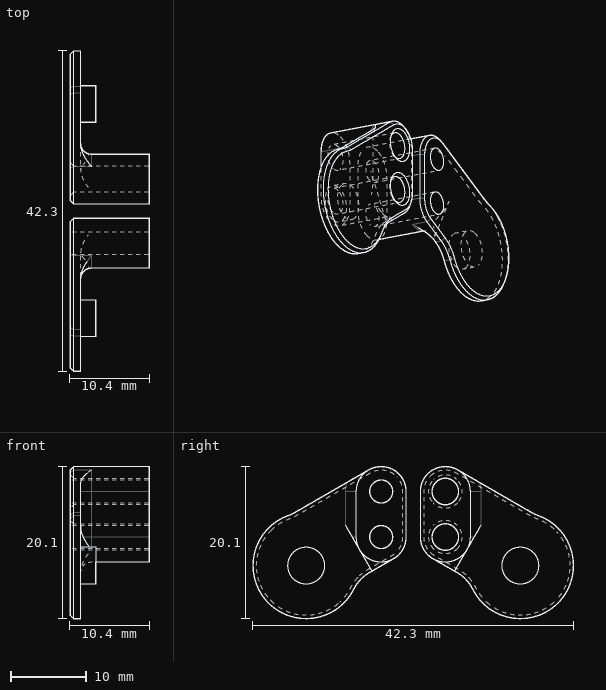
import cadquery as cq
import math

half_width = 21.15
height = 20.1
depth = 10.45

plate_thickness = 1.4
disc_radius = 7.0
disc_y = half_width - disc_radius
disc_z = disc_radius
edge_angle = math.radians(30)
edge_chamfer = 0.45
neck_fillet = 5.0

barrel_radius = 3.3
hole_spacing = 6.0
barrel_y = 4.25
upper_hole_z = height - barrel_radius
lower_hole_z = upper_hole_z - hole_spacing
barrel_z = (upper_hole_z + lower_hole_z) / 2
root_fillet = 1.4

stud_radius = 2.43
stud_height = 2.0

plain_hole_diameter = 3.0
wide_hole_diameter = 3.45
countersink = 0.45

blank_size = 4 * half_width


def disc_crossing(start, direction):
    """Point where a line from start, along a unit direction, first meets the disc."""
    offset_y = disc_y - start[0]
    offset_z = disc_z - start[1]
    along = offset_y * direction[0] + offset_z * direction[1]
    across = offset_y * direction[1] - offset_z * direction[0]
    travel = along - math.sqrt(disc_radius**2 - across**2)
    return (start[0] + travel * direction[0], start[1] + travel * direction[1])


def outline_prism():
    """Paddle outline over the full depth, chamfered around its -X face."""
    sine = math.sin(edge_angle)
    cosine = math.cos(edge_angle)
    slope = (cosine, -sine)
    inner_y = barrel_y - barrel_radius
    upper_tangent = (barrel_y + barrel_radius * sine, upper_hole_z + barrel_radius * cosine)
    lower_tangent = (barrel_y - barrel_radius * sine, lower_hole_z - barrel_radius * cosine)
    upper_neck = disc_crossing(upper_tangent, slope)
    lower_neck = disc_crossing(lower_tangent, slope)
    upper_mid = (barrel_y - barrel_radius * sine, upper_hole_z + barrel_radius * cosine)
    lower_mid = (barrel_y - barrel_radius * cosine, lower_hole_z - barrel_radius * sine)
    disc_far = (disc_y + disc_radius * cosine, disc_z - disc_radius * sine)
    prism = (
        cq.Workplane("YZ")
        .moveTo(*upper_tangent)
        .lineTo(*upper_neck)
        .threePointArc(disc_far, lower_neck)
        .lineTo(*lower_tangent)
        .threePointArc(lower_mid, (inner_y, lower_hole_z))
        .lineTo(inner_y, upper_hole_z)
        .threePointArc(upper_mid, upper_tangent)
        .close()
        .extrude(depth)
    )
    for neck_y, neck_z in (upper_neck, lower_neck):
        corner = cq.selectors.NearestToPointSelector((depth / 2, neck_y, neck_z))
        prism = prism.edges(corner).fillet(neck_fillet)
    return prism.faces("<X").chamfer(edge_chamfer)


def barrel_column():
    """Slot-shaped barrel over the full depth."""
    return (
        cq.Workplane("YZ")
        .center(barrel_y, barrel_z)
        .slot2D(hole_spacing + 2 * barrel_radius, 2 * barrel_radius, 90)
        .extrude(depth)
    )


def barrel_on_blank():
    """Barrel on an oversize plate, with the fillet around its root."""
    blank = cq.Workplane("YZ").rect(blank_size, blank_size).extrude(plate_thickness)
    root_box = cq.selectors.BoxSelector(
        (plate_thickness / 2, -half_width, -height),
        (plate_thickness * 3 / 2, half_width, 2 * height),
    )
    root_edges = cq.selectors.SubtractSelector(root_box, cq.StringSyntaxSelector("|X"))
    return blank.union(barrel_column()).edges(root_edges).fillet(root_fillet)


def fillet_trim():
    """Block with a side face tangent to the lower barrel round, to end the root fillet there."""
    return (
        cq.Workplane("XY")
        .box(depth, half_width, height, centered=(False, False, False))
        .translate((plate_thickness, barrel_radius, -height / 2))
        .rotate((0, 0, 0), (1, 0, 0), -math.degrees(edge_angle))
        .translate((0, barrel_y, lower_hole_z))
    )


def paddle_blank():
    """Paddle on the +Y side, without holes."""
    stud = (
        cq.Workplane("YZ", origin=(plate_thickness, 0, 0))
        .center(disc_y, disc_z)
        .circle(stud_radius)
        .extrude(stud_height)
    )
    barrel = barrel_on_blank().cut(fillet_trim().cut(barrel_column()))
    return barrel.intersect(outline_prism()).union(stud)


def hole_cutters(diameter):
    """Two through-hole cylinders of the +Y barrel."""
    return (
        cq.Workplane("YZ")
        .pushPoints([(barrel_y, upper_hole_z), (barrel_y, lower_hole_z)])
        .circle(diameter / 2)
        .extrude(depth)
    )


def countersink_cutters():
    """Two cones that widen the hole mouths at the -X face."""
    bore_radius = wide_hole_diameter / 2
    inward = cq.Vector(1, 0, 0)
    cones = cq.Workplane()
    for hole_z in (upper_hole_z, lower_hole_z):
        mouth = cq.Vector(0, barrel_y, hole_z)
        cone = cq.Solid.makeCone(bore_radius + countersink, bore_radius, countersink, mouth, inward)
        cones = cones.add(cone)
    return cones.combine()


blank_paddle = paddle_blank()
countersunk_paddle = blank_paddle.cut(hole_cutters(wide_hole_diameter)).cut(countersink_cutters())
plain_paddle = blank_paddle.cut(hole_cutters(plain_hole_diameter)).mirror("XZ")

result = cq.Compound.makeCompound([countersunk_paddle.val(), plain_paddle.val()])